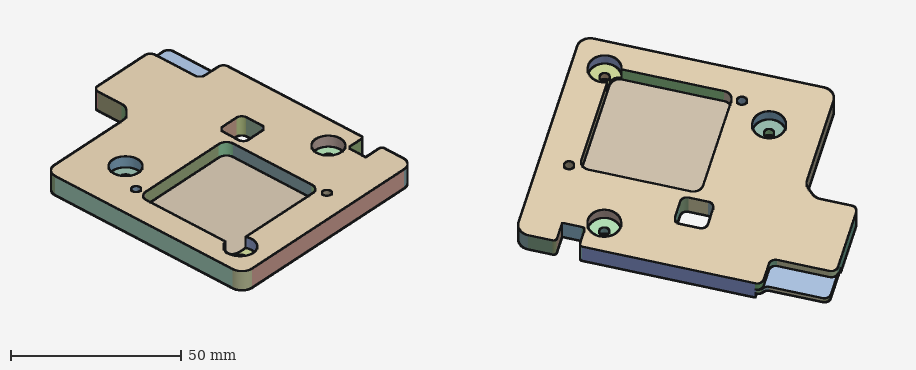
import cadquery as cq
import math

length = 95.0
width = 75.0
thickness = 7.0
corner_radius = 4.0
edge_radius = 2.0

cutaway_length = 17.0
cutaway_width = 40.0
cutaway_chamfer = 4.0
cutaway_fillet = 4.0

tab_length = 19.9
tab_setback = 2.0
tab_bottom = 2.0
tab_top = 4.0
step_width = 10.0
underside_length = tab_length + edge_radius
underside_width = 15.5

notch_left = 75.5
notch_length = 7.0
notch_depth = 7.0
notch_radius = 1.0

window_size = 10.0
window_center = (46.0, 54.5)

pocket_length = 37.0
pocket_width = 38.2
pocket_center = (64.5, 28.0)
pocket_radius = 3.0
pocket_depth = 4.9

screw_centers = [(70.5, 65.0), (33.0, 17.5), (85.0, 10.0)]
screw_diameter = 3.0
counterbore_diameter = 10.0
counterbore_depth = 4.0
pin_centers = [(86.0, 47.0), (43.0, 11.0)]
pin_diameter = 3.0

pad_size = 20.0
pad_height = 1.0
pad_center = (64.0, 32.0)

corner_reach = 0.05


def block(x_range, y_range, z_range):
    """Box spanning the given limits."""
    return (
        cq.Workplane("XY")
        .box(
            x_range[1] - x_range[0],
            y_range[1] - y_range[0],
            z_range[1] - z_range[0],
            centered=False,
        )
        .translate((x_range[0], y_range[0], z_range[0]))
    )


def upright_edges(body, corner):
    """Vertical edges of the body that stand at the given XY corner."""
    x, y = corner
    low = (x - corner_reach, y - corner_reach, -pad_height)
    high = (x + corner_reach, y + corner_reach, thickness + pad_height)
    return body.edges("|Z").edges(cq.selectors.BoxSelector(low, high))


def round_upright(body, corner, radius):
    return upright_edges(body, corner).fillet(radius)


def make_slice(bottom, top, bite):
    """Plate slice between two heights, with the given bite out of its upper-left corner."""
    cutaway = block((0, cutaway_length), (0, cutaway_width), (bottom, top))
    notch_right = notch_left + notch_length
    notch_floor = width - notch_depth
    notch = block((notch_left, notch_right), (notch_floor, width), (bottom, top))
    body = block((0, length), (0, width), (bottom, top)).cut(cutaway).cut(notch).cut(bite)

    inner_corner = (cutaway_length, cutaway_width)
    body = upright_edges(body, inner_corner).chamfer(cutaway_chamfer)
    body = round_upright(body, (cutaway_length - cutaway_chamfer, cutaway_width), cutaway_fillet)
    body = round_upright(body, (cutaway_length, cutaway_width - cutaway_chamfer), cutaway_fillet)

    for corner in [(cutaway_length, 0), (length, 0), (length, width)]:
        body = round_upright(body, corner, corner_radius)
    body = round_upright(body, (0, cutaway_width), edge_radius)

    body = round_upright(body, (notch_left, width), notch_radius)
    body = round_upright(body, (notch_left, notch_floor), notch_radius)
    return round_upright(body, (notch_right, width), notch_radius)


def make_lower_slice():
    """Slice below the tab: a recess that leaves the tab overhanging."""
    bite_edge = width - underside_width
    bite = block((0, underside_length), (bite_edge, width), (0, tab_bottom))
    body = make_slice(0, tab_bottom, bite)
    return round_upright(body, (underside_length, bite_edge), edge_radius)


def make_tab_slice():
    """Slice holding the tab, whose edge joins the plate edge through an S-curve."""
    tab_edge = width - tab_setback
    half_rise = tab_setback / 2
    half_run = math.sqrt(edge_radius**2 - (edge_radius - half_rise) ** 2)
    bite = (
        cq.Workplane("XY", origin=(0, 0, tab_bottom))
        .moveTo(0, tab_edge)
        .lineTo(tab_length - half_run, tab_edge)
        .radiusArc((tab_length, tab_edge + half_rise), -edge_radius)
        .radiusArc((tab_length + half_run, width), edge_radius)
        .lineTo(0, width)
        .close()
        .extrude(tab_top - tab_bottom)
    )
    body = make_slice(tab_bottom, tab_top, bite)
    return round_upright(body, (0, tab_edge), edge_radius)


def make_upper_slice():
    """Slice above the tab: rectangular step with rounded corners."""
    bite_edge = width - step_width
    bite = block((0, tab_length), (bite_edge, width), (tab_top, thickness))
    body = make_slice(tab_top, thickness, bite)
    for corner in [(0, bite_edge), (tab_length, bite_edge), (tab_length, width)]:
        body = round_upright(body, corner, edge_radius)
    return body


def make_plate():
    """Stack the three slices that form the plate and its tab."""
    return make_lower_slice().union(make_tab_slice()).union(make_upper_slice())


def cut_window(body):
    window = (
        cq.Workplane("XY")
        .center(*window_center)
        .rect(window_size, window_size)
        .extrude(thickness)
        .edges("|Z")
        .fillet(edge_radius)
    )
    return body.cut(window)


def cut_pocket(body):
    pocket = (
        cq.Workplane("XY", origin=(0, 0, thickness - pocket_depth))
        .center(*pocket_center)
        .rect(pocket_length, pocket_width)
        .extrude(pocket_depth)
        .edges("|Z")
        .fillet(pocket_radius)
    )
    return body.cut(pocket)


def drill(body, centers, diameter, depth):
    """Cut round holes of the given depth down from the top face."""
    holes = (
        cq.Workplane("XY", origin=(0, 0, thickness - depth))
        .pushPoints(centers)
        .circle(diameter / 2)
        .extrude(depth)
    )
    return body.cut(holes)


def add_pad(body):
    pad = (
        cq.Workplane("XY", origin=(0, 0, -pad_height))
        .center(*pad_center)
        .rect(pad_size, pad_size)
        .extrude(pad_height)
    )
    return body.union(pad)


plate = add_pad(make_plate())
plate = cut_window(plate)
plate = cut_pocket(plate)
plate = drill(plate, screw_centers, counterbore_diameter, counterbore_depth)
plate = drill(plate, screw_centers, screw_diameter, thickness)
result = drill(plate, pin_centers, pin_diameter, thickness)